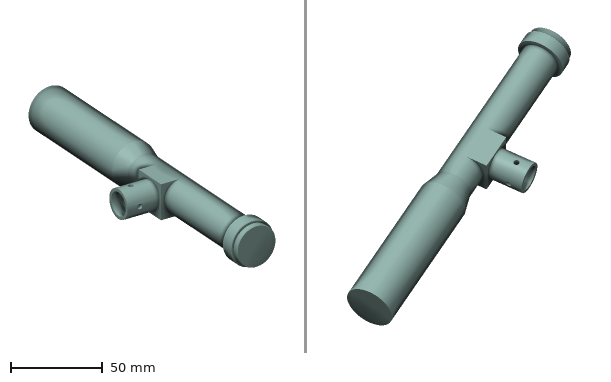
import cadquery as cq

total_length = 203.7
body_diameter = 28.0
tube_diameter = 21.8
body_end = 82.5
taper_end = 93.5
collar_start = 191.7
collar_end = 199.6
groove_width = 0.6
groove_diameter = 23.6
end_ring_diameter = 25.3
edge_chamfer = 0.5

block_width = 22.0
block_reach = 13.2
block_center_x = 118.5

overall_depth = 47.7
sleeve_tip = overall_depth - body_diameter / 2
sleeve_center_x = block_center_x
sleeve_diameter = 18.1
socket_diameter = 14.3
socket_depth = 5.0
bore_diameter = 8.1
bore_depth = sleeve_tip - block_reach
pin_hole_diameter = 3.3
pin_hole_setback = 8.0


def turned_body():
    """Handle, taper, tube, chamfered collar, groove and chamfered end ring in one revolve."""
    body_radius = body_diameter / 2
    tube_radius = tube_diameter / 2
    groove_radius = groove_diameter / 2
    ring_radius = end_ring_diameter / 2
    ring_start = collar_end + groove_width
    profile = (
        cq.Workplane("XY")
        .lineTo(0, body_radius)
        .lineTo(body_end, body_radius)
        .lineTo(taper_end, tube_radius)
        .lineTo(collar_start, tube_radius)
        .lineTo(collar_start, body_radius)
        .lineTo(collar_end - edge_chamfer, body_radius)
        .lineTo(collar_end, body_radius - edge_chamfer)
        .lineTo(collar_end, groove_radius)
        .lineTo(ring_start, groove_radius)
        .lineTo(ring_start, ring_radius)
        .lineTo(total_length - edge_chamfer, ring_radius)
        .lineTo(total_length, ring_radius - edge_chamfer)
        .lineTo(total_length, 0)
        .close()
    )
    return profile.revolve(360, (0, 0, 0), (1, 0, 0))


def side_block():
    """Block as tall as the tube, reaching from the tube axis toward -Y."""
    return cq.Workplane("XY").box(block_width, block_reach, tube_diameter).translate(
        (block_center_x, -block_reach / 2, 0)
    )


def sleeve_cylinder(diameter, length):
    """Cylinder on the sleeve axis, running inward from the sleeve tip."""
    tip_plane = cq.Plane(origin=(sleeve_center_x, -sleeve_tip, 0), xDir=(1, 0, 0), normal=(0, 1, 0))
    return cq.Workplane(tip_plane).circle(diameter / 2).extrude(length)


def pin_hole(direction):
    """Cross hole through both walls of the sleeve along the given direction."""
    center = (sleeve_center_x, pin_hole_setback - sleeve_tip, 0)
    hole_plane = cq.Plane(origin=center, normal=direction)
    return cq.Workplane(hole_plane).circle(pin_hole_diameter / 2).extrude(sleeve_diameter, both=True)


result = turned_body().union(side_block()).union(sleeve_cylinder(sleeve_diameter, sleeve_tip))
result = result.cut(sleeve_cylinder(socket_diameter, socket_depth))
result = result.cut(sleeve_cylinder(bore_diameter, bore_depth))
for hole_direction in [(1, 0, 0), (0, 0, 1)]:
    result = result.cut(pin_hole(hole_direction))